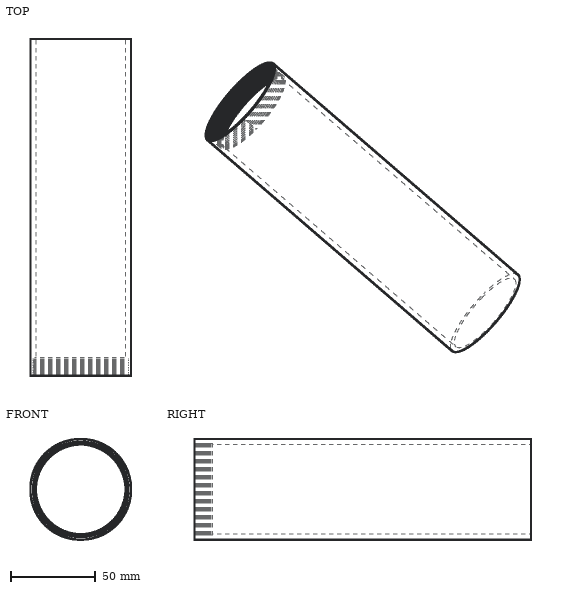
import cadquery as cq

length = 200.0
outer_radius = 30.0
bore_radius = 26.5

socket_depth = 10.8
thread_crest_radius = 27.2
thread_root_radius = 28.5
thread_turns = 10
thread_pitch = 1.0

mouth = -length / 2
socket_floor = mouth + socket_depth


def make_tube():
    """Plain tube centred on the origin."""
    ring = cq.Workplane("XZ", origin=(0, mouth, 0)).circle(outer_radius).circle(bore_radius)
    return ring.extrude(-length)


def make_thread_core():
    """Solid filling the threaded socket, with a plain strip between the last ring and the floor."""
    profile = cq.Workplane("XY").moveTo(0, mouth).lineTo(thread_root_radius, mouth)
    thread_end = mouth + thread_turns * thread_pitch
    for turn in range(thread_turns):
        turn_start = mouth + turn * thread_pitch
        profile = profile.lineTo(thread_crest_radius, turn_start + thread_pitch / 2)
        profile = profile.lineTo(thread_root_radius, turn_start + thread_pitch)
    profile = profile.lineTo(thread_crest_radius, thread_end)
    profile = profile.lineTo(thread_crest_radius, socket_floor).lineTo(0, socket_floor).close()
    return profile.revolve(360, (0, 0, 0), (0, 1, 0))


result = make_tube().cut(make_thread_core())